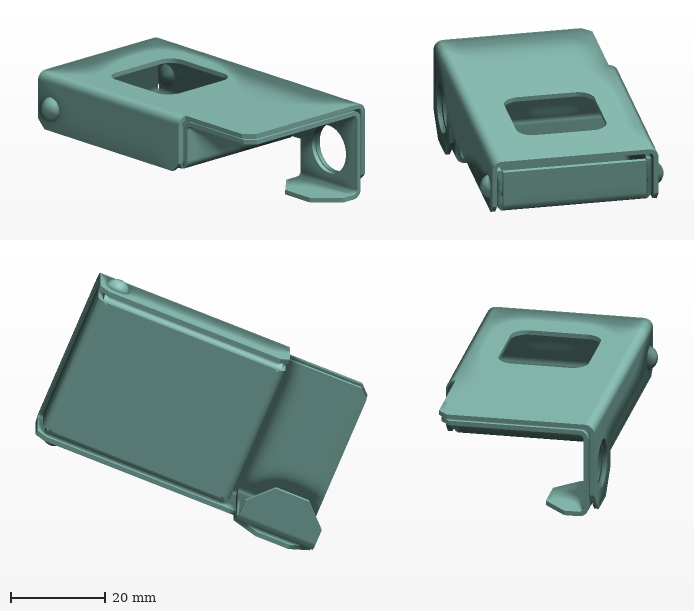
import cadquery as cq
import math


SHEET = 1.0
INNER_BEND = 1.0
MID_BEND = INNER_BEND + SHEET / 2
OUTER_BEND = INNER_BEND + SHEET

LENGTH = 63.0
COVER_WIDTH = 36.05
HEIGHT = 21.0
FLANGE_DEPTH = 12.4
SHORT_FLANGE_LENGTH = 43.55
CORNER_CHAMFER = 2.0
WINDOW_SIZE = 19.5
WINDOW_CENTER_X = 21.7
WINDOW_RADIUS = 3.5

TAB_START = 45.5
TAB_CENTER_X = (TAB_START + LENGTH) / 2
TAB_CHAMFER = 5.0
HOLE_DIAMETER = 10.5
HOLE_Z = -12.05

SIDE_GAP = 0.25
TRAY_WIDTH = COVER_WIDTH - 2 * (SHEET + SIDE_GAP)
TRAY_INNER_HALF = TRAY_WIDTH / 2 - SHEET
END_WALL_HALF = TRAY_INNER_HALF - SIDE_GAP
TRAY_FRONT = 0.6
TRAY_BACK = SHORT_FLANGE_LENGTH
TRAY_WALL_TOP = -2.85
TONGUE_TOP = -1.4
FOOT_LENGTH = 10.2

RIVET_X = 4.05
RIVET_Z = -7.45
SHANK_DIAMETER = 3.0
SHANK_LENGTH = 1.9
HEAD_DIAMETER = 5.2
RIVET_SPAN = 39.6
HEAD_HEIGHT = (RIVET_SPAN - COVER_WIDTH) / 2


def box(x_range, y_range, z_range):
    """Axis-aligned block between the given limits."""
    sizes = [high - low for low, high in (x_range, y_range, z_range)]
    return cq.Workplane("XY").box(*sizes, centered=False).translate((x_range[0], y_range[0], z_range[0]))


def bent_sheet(plane, path, width):
    """Sheet strip whose mid-surface follows the path with rounded bends, spread evenly about the plane."""
    points = [cq.Vector(u, v) for u, v in path]
    spine = cq.Workplane(plane).moveTo(*path[0])
    for before, corner, after in zip(points, points[1:], points[2:]):
        toward_before = (before - corner).normalized()
        toward_after = (after - corner).normalized()
        center = corner + (toward_before + toward_after) * MID_BEND
        bend_start = corner + toward_before * MID_BEND
        bend_middle = center - (toward_before + toward_after).normalized() * MID_BEND
        bend_end = corner + toward_after * MID_BEND
        spine = spine.lineTo(bend_start.x, bend_start.y)
        spine = spine.threePointArc((bend_middle.x, bend_middle.y), (bend_end.x, bend_end.y))
    spine = spine.lineTo(*path[-1])

    start = plane.toWorldCoords(path[0])
    direction = plane.toWorldCoords(path[1]) - start
    section = cq.Workplane(cq.Plane(origin=start, xDir=plane.zDir, normal=direction)).rect(width, SHEET)
    return section.sweep(spine)


def cross_plane(x):
    """Plane across the length at x, with local axes Y and Z."""
    return cq.Plane(origin=(x, 0, 0), xDir=(0, 1, 0), normal=(1, 0, 0))


def corner_wedge(plane, corner, leg_u, leg_v, depth):
    """Triangular cutter at a corner; each signed leg runs along one edge from that corner."""
    u, v = corner
    return (
        cq.Workplane(plane)
        .polyline([(u, v), (u + leg_u, v), (u, v + leg_v)])
        .close()
        .extrude(depth, both=True)
    )


def tab_hole():
    """Padlock hole through the tabs on the +Y side."""
    return (
        cq.Workplane("XZ", origin=(TAB_CENTER_X, 0, HOLE_Z))
        .circle(HOLE_DIAMETER / 2)
        .extrude(-COVER_WIDTH)
    )


def make_rivet(side):
    """Rivet with two domed heads; the outer head rests on the cover flange."""
    head_radius = HEAD_DIAMETER / 2
    rim_to_crown = math.hypot(head_radius, HEAD_HEIGHT)
    dome_radius = rim_to_crown ** 2 / (2 * HEAD_HEIGHT)
    half_angle = math.asin(head_radius / dome_radius) / 2
    dome_mid_radius = dome_radius * math.sin(half_angle)
    dome_mid_rise = HEAD_HEIGHT - dome_radius * (1 - math.cos(half_angle))
    rivet = (
        cq.Workplane("XY")
        .moveTo(0, HEAD_HEIGHT)
        .threePointArc((dome_mid_radius, dome_mid_rise), (head_radius, 0))
        .lineTo(SHANK_DIAMETER / 2, 0)
        .lineTo(SHANK_DIAMETER / 2, -SHANK_LENGTH)
        .lineTo(head_radius, -SHANK_LENGTH)
        .threePointArc(
            (dome_mid_radius, -SHANK_LENGTH - dome_mid_rise),
            (0, -SHANK_LENGTH - HEAD_HEIGHT),
        )
        .close()
        .revolve(360, (0, 0, 0), (0, 1, 0))
    )
    if side < 0:
        rivet = rivet.mirror("XZ")
    return rivet.translate((RIVET_X, side * COVER_WIDTH / 2, RIVET_Z))


def make_cover(rivets):
    """Channel-shaped cover with a window, a short -Y flange and a tab on its +Y flange."""
    mid_y = (COVER_WIDTH - SHEET) / 2
    path = [(-mid_y, -FLANGE_DEPTH), (-mid_y, -SHEET / 2), (mid_y, -SHEET / 2), (mid_y, -HEIGHT)]
    cover = bent_sheet(cross_plane(LENGTH / 2), path, LENGTH)

    half_width = COVER_WIDTH / 2
    plate_edge = -half_width + OUTER_BEND
    cover = cover.cut(box((SHORT_FLANGE_LENGTH, LENGTH), (-half_width, plate_edge), (-HEIGHT, 0)))
    cover = cover.cut(box((0, TAB_START), (0, half_width), (-HEIGHT, -FLANGE_DEPTH)))

    side = cq.Plane.XZ()
    cover = cover.cut(corner_wedge(side, (0, -FLANGE_DEPTH), CORNER_CHAMFER, CORNER_CHAMFER, half_width))
    short_flange_end = (
        corner_wedge(side, (SHORT_FLANGE_LENGTH, -FLANGE_DEPTH), -CORNER_CHAMFER, CORNER_CHAMFER, half_width)
        .intersect(box((0, LENGTH), (-half_width, 0), (-HEIGHT, 0)))
    )
    cover = cover.cut(short_flange_end)
    for tab_x, inward in ((TAB_START, 1), (LENGTH, -1)):
        cover = cover.cut(corner_wedge(side, (tab_x, -HEIGHT), inward * TAB_CHAMFER, TAB_CHAMFER, half_width))
    plate_corner = (LENGTH, plate_edge)
    cover = cover.cut(corner_wedge(cq.Plane.XY(), plate_corner, -CORNER_CHAMFER, CORNER_CHAMFER, SHEET))

    window = (
        cq.Workplane("XY", origin=(WINDOW_CENTER_X, 0, 0))
        .rect(WINDOW_SIZE, WINDOW_SIZE)
        .extrude(-SHEET)
        .edges("|Z")
        .fillet(WINDOW_RADIUS)
    )
    cover = cover.cut(window).cut(tab_hole())
    for rivet in rivets:
        cover = cover.cut(rivet)
    return cover


def make_tray(rivets):
    """Open tray with four walls; its back wall turns out into a tongue that carries a footed tab."""
    floor_z = -FLANGE_DEPTH + SHEET / 2
    tongue_z = TONGUE_TOP - SHEET / 2

    front_x = TRAY_FRONT + SHEET / 2
    back_x = TRAY_BACK - SHEET / 2
    lengthwise_path = [
        (front_x, TRAY_WALL_TOP),
        (front_x, floor_z),
        (back_x, floor_z),
        (back_x, tongue_z),
        (LENGTH, tongue_z),
    ]
    tray = bent_sheet(cq.Plane.XZ(), lengthwise_path, 2 * END_WALL_HALF)
    tongue_corner = (LENGTH, -END_WALL_HALF)
    tray = tray.cut(corner_wedge(cq.Plane.XY(), tongue_corner, -CORNER_CHAMFER, CORNER_CHAMFER, HEIGHT))

    wall_y = (TRAY_WIDTH - SHEET) / 2
    side_path = [(-wall_y, TRAY_WALL_TOP), (-wall_y, floor_z), (wall_y, floor_z), (wall_y, TRAY_WALL_TOP)]
    sides = bent_sheet(cross_plane((TRAY_FRONT + TRAY_BACK) / 2), side_path, TRAY_BACK - TRAY_FRONT)
    half_width = TRAY_WIDTH / 2
    bend_y = half_width - OUTER_BEND
    for end_x, inward in ((TRAY_FRONT, 1), (TRAY_BACK, -1)):
        bend_x = end_x + inward * OUTER_BEND
        end_share = (
            cq.Workplane("XY")
            .polyline([(end_x, -half_width), (bend_x, -bend_y), (bend_x, bend_y), (end_x, half_width)])
            .close()
            .extrude(-HEIGHT)
        )
        sides = sides.cut(end_share)

        setback = sorted((end_x, end_x + inward * SHEET))
        sides = sides.cut(box(setback, (-half_width, half_width), (-HEIGHT, 0)))
        for side in (-1, 1):
            miter_corner = (bend_x, side * half_width)
            miter = corner_wedge(cq.Plane.XY(), miter_corner, -inward * OUTER_BEND, -side * OUTER_BEND, HEIGHT)
            tray = tray.cut(miter)
    tray = tray.union(sides)

    tray = tray.cut(box((TAB_START, LENGTH), (bend_y, half_width), (-HEIGHT, 0)))
    foot_end = half_width - FOOT_LENGTH
    foot_z = -HEIGHT + SHEET / 2
    tab_path = [(0, tongue_z), (wall_y, tongue_z), (wall_y, foot_z), (foot_end, foot_z)]
    tab = bent_sheet(cross_plane(TAB_CENTER_X), tab_path, LENGTH - TAB_START)
    foot_plane = cq.Plane(origin=(0, 0, -HEIGHT))
    for tab_x, inward in ((TAB_START, 1), (LENGTH, -1)):
        foot_corner = (tab_x, foot_end)
        tab = tab.cut(corner_wedge(foot_plane, foot_corner, inward * TAB_CHAMFER, TAB_CHAMFER, SHEET))
    tray = tray.union(tab).cut(tab_hole())
    for rivet in rivets:
        tray = tray.cut(rivet)
    return tray


rivets = [make_rivet(side) for side in (-1, 1)]
cover = make_cover(rivets)
tray = make_tray(rivets)

result = cq.Compound.makeCompound([cover.val(), tray.val(), *[rivet.val() for rivet in rivets]])